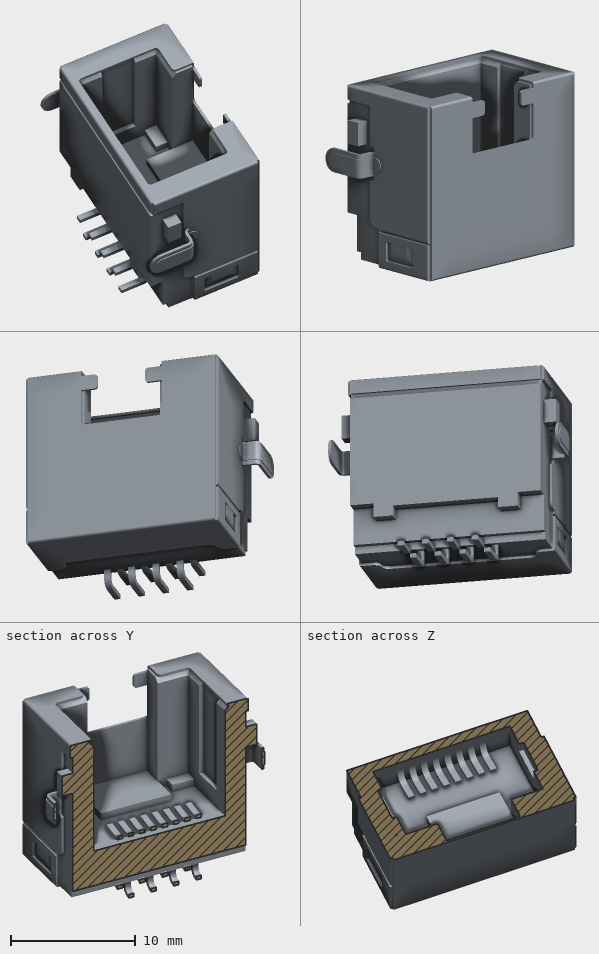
import cadquery as cq


SHELL_HALF_WIDTH = 8.1
DEPTH = 9.85
HEIGHT = 14.5
SHEET = 0.23
BEND_RADIUS = 0.21
BODY_HALF_WIDTH = SHELL_HALF_WIDTH - SHEET
TOP_SHEET_Z = HEIGHT - SHEET
SIDES = (-1, 1)
EMBED = 0.2
REACH = 38.26

SIDE_EDGE_Y = 2.9
FLAP_BOTTOM_Z = 13.3
FLAP_GAP = 0.4
FLAP_CORNER = 0.2
LEG_Z = 8.5
LEG_RELIEF_Y = 3.39
LEG_RELIEF_HEIGHT = 2.93
RELIEF_CORNER = 0.44
UPPER_SHELL_Z = 3.1
SEAM_GAP = 0.13
SIDE_CORNER = 0.54
LOWER_EDGE_Y = 3.9
RAMP_START_Y = 3.54
RAMP_RISE = 0.08

BOTTOM_EDGE_CURVE = 0.61
BOTTOM_EDGE_OUTER_X = 6.98

WINDOW_Y = (4.75, 7.9)
WINDOW_Z = (0.77, 2.37)
WINDOW_CORNER = 0.15
CATCH_CLEARANCE = 0.11
CATCH_SLOPE_Y = 0.65
CATCH_SLOPE_Z = 0.65
CATCH_RISE = 0.2

STEP_DEPTH = 1.1
STEP_CENTRE_Z = 3.54
STEP_TAB_Z = 2.7
STEP_OUTER_Z = 3.85
TAB_INNER_X = 4.35
TAB_OUTER_X = 5.95
FOOT_DEPTH = 1.6
FOOT_Z = 0.85

CAVITY_HALF_WIDTH = 5.93
CAVITY_Y = (0.95, 7.77)
CAVITY_FLOOR_Z = 4.11
RIM = 0.2
LEAD_IN = 0.38
RIM_CORNER = 0.29
LATCH_HALF_WIDTH = 3.18
LATCH_FRONT_Y = 5.43
LATCH_FLOOR_Z = 4.78
BACK_NOTCH_Z = 9.74
BACK_NOTCH_CORNER = 0.25
BACK_TAB_INNER_X = 2.0
BACK_TAB_Z = (12.76, 14.0)
BACK_TAB_CORNER = 0.25
STOP_INNER_X = 3.96
STOP_FRONT_Y = 6.71
WALL_POCKET_Y = (2.89, 5.87)
WALL_POCKET_DEPTH = 0.38
WALL_POCKET_FLOOR_Z = 5.74
WALL_POCKET_LEAD_IN = 0.25

PEG_HALF_SPAN = 8.84
PEG_Y = (1.09, 2.28)
PEG_Z = (9.95, 11.88)
OVERALL_HALF_SPAN = 9.56
RIB_RISE = 0.08
LEG_HALF_SPAN = OVERALL_HALF_SPAN - RIB_RISE
LEG_BACK_Y = 3.14
LEG_TIP_Y = -0.85
LEG_WIDTH = 1.99
LEG_INNER_BEND = 0.25
RIB_WIDTH = 1.25
RIB_Y = (-0.4, 4.15)

PIN_COUNT = 8
PIN_ROW_SPAN = 7.14
PIN_PITCH = PIN_ROW_SPAN / (PIN_COUNT - 1)
PIN_WIDTH = 0.52
PIN_THICKNESS = 0.36
PIN_TIP_Y = -0.52
PIN_BACK_Y = 2.33
PIN_INNER_BEND = 0.55
UPPER_PIN_Z = -0.08
LOWER_PIN_Z = -1.19
PIN_TOP_Z = 1.91
SPRING_ROOT_Z = 5.74
SPRING_DIP_Y = 1.97
SPRING_DIP_Z = 4.78
SPRING_TIP_Y = 3.27
SPRING_TIP_Z = 5.01


def block(x, y, z):
    """Box spanning the given (low, high) ranges."""
    size = [high - low for low, high in (x, y, z)]
    return cq.Workplane().box(*size, centered=False).translate((x[0], y[0], z[0]))


def centred_block(half_width, y, z):
    return block((-half_width, half_width), y, z)


def side_block(side, x, y, z):
    """Box on the +X or -X side, x given as distances from the centre plane."""
    return block(sorted((side * x[0], side * x[1])), y, z)


def mirrored(solid):
    """The solid together with its mirror image across the centre plane."""
    return solid.union(solid.mirror("YZ"))


def make_envelope():
    wide = centred_block(SHELL_HALF_WIDTH, (SHEET, DEPTH - SHEET), (0, HEIGHT))
    wide = wide.edges("|Y").fillet(BEND_RADIUS)
    deep = centred_block(BODY_HALF_WIDTH, (0, DEPTH), (0, HEIGHT))
    deep = deep.edges("|X").edges(">Z or >Y").fillet(BEND_RADIUS)
    return wide.union(deep)


def make_side_openings():
    """Solids that clear the +X side where the housing shows past the shell."""
    lip_top = UPPER_SHELL_Z + SHEET
    opening = block((BODY_HALF_WIDTH, REACH), (-REACH, SIDE_EDGE_Y), (-REACH, FLAP_BOTTOM_Z))
    opening = opening.edges(">Y and >Z").fillet(FLAP_CORNER)
    relief = block(
        (BODY_HALF_WIDTH, REACH),
        (0, LEG_RELIEF_Y),
        (LEG_Z - LEG_RELIEF_HEIGHT / 2, LEG_Z + LEG_RELIEF_HEIGHT / 2),
    )
    relief = relief.edges("|X and >Y").fillet(RELIEF_CORNER)
    below = (
        cq.Workplane("YZ", origin=(BODY_HALF_WIDTH, 0, 0))
        .moveTo(0, lip_top + SIDE_CORNER)
        .lineTo(SIDE_EDGE_Y, lip_top + SIDE_CORNER)
        .radiusArc((SIDE_EDGE_Y + SIDE_CORNER, lip_top), -SIDE_CORNER)
        .lineTo(LOWER_EDGE_Y, lip_top)
        .lineTo(LOWER_EDGE_Y, -REACH)
        .lineTo(0, -REACH)
        .close()
        .extrude(REACH)
    )
    seam_bottom = UPPER_SHELL_Z - SEAM_GAP
    seam = (
        cq.Workplane("XZ", origin=(0, DEPTH - SHEET, 0))
        .moveTo(BODY_HALF_WIDTH, seam_bottom)
        .lineTo(SHELL_HALF_WIDTH, seam_bottom)
        .lineTo(SHELL_HALF_WIDTH, lip_top)
        .radiusArc((BODY_HALF_WIDTH, UPPER_SHELL_Z), SHEET)
        .close()
        .extrude(DEPTH)
    )
    return opening, relief, below, seam


def make_side_ramp():
    """Low ramp on the housing leading up to the lower shell."""
    return (
        cq.Workplane("XY", origin=(0, 0, SHEET))
        .moveTo(BODY_HALF_WIDTH - EMBED, RAMP_START_Y)
        .lineTo(BODY_HALF_WIDTH, RAMP_START_Y)
        .lineTo(BODY_HALF_WIDTH + RAMP_RISE, LOWER_EDGE_Y)
        .lineTo(BODY_HALF_WIDTH - EMBED, LOWER_EDGE_Y)
        .close()
        .extrude(UPPER_SHELL_Z)
    )


def make_window():
    window = block((BODY_HALF_WIDTH, REACH), WINDOW_Y, WINDOW_Z)
    return window.edges("|X").fillet(WINDOW_CORNER)


def make_catch():
    """Wedge with a flat top, sloping down on three sides."""
    base = BODY_HALF_WIDTH - EMBED
    foot = BODY_HALF_WIDTH
    peak = foot + CATCH_RISE
    front, back = WINDOW_Y[0] + CATCH_CLEARANCE, WINDOW_Y[1] - CATCH_CLEARANCE
    low, high = WINDOW_Z[0] + CATCH_CLEARANCE, WINDOW_Z[1]
    plan = [
        (base, front),
        (foot, front),
        (peak, front + CATCH_SLOPE_Y),
        (peak, back - CATCH_SLOPE_Y),
        (foot, back),
        (base, back),
    ]
    profile = [(base, low), (foot, low), (peak, low + CATCH_SLOPE_Z), (peak, high), (base, high)]
    across = cq.Workplane("XY").polyline(plan).close().extrude(HEIGHT)
    upright = cq.Workplane("XZ").polyline(profile).close().extrude(-DEPTH)
    return across.intersect(upright)


def make_underside_cut():
    """Space below the housing, in front of the bottom plate's stepped edge."""
    inner_x = BOTTOM_EDGE_OUTER_X - 2 * BOTTOM_EDGE_CURVE
    middle_x = BOTTOM_EDGE_OUTER_X - BOTTOM_EDGE_CURVE
    middle_y = LOWER_EDGE_Y + BOTTOM_EDGE_CURVE
    inner_y = LOWER_EDGE_Y + 2 * BOTTOM_EDGE_CURVE
    half = (
        cq.Workplane("XY")
        .moveTo(0, -REACH)
        .lineTo(REACH, -REACH)
        .lineTo(REACH, LOWER_EDGE_Y)
        .lineTo(BOTTOM_EDGE_OUTER_X, LOWER_EDGE_Y)
        .radiusArc((middle_x, middle_y), BOTTOM_EDGE_CURVE)
        .radiusArc((inner_x, inner_y), -BOTTOM_EDGE_CURVE)
        .lineTo(0, inner_y)
        .close()
        .extrude(SHEET)
    )
    return mirrored(half)


def make_front_cuts():
    flap_gap = centred_block(REACH, (-REACH, SHEET), (FLAP_BOTTOM_Z - FLAP_GAP, FLAP_BOTTOM_Z))
    foot = centred_block(REACH, (-REACH, FOOT_DEPTH), (-REACH, FOOT_Z))
    centre = centred_block(TAB_INNER_X, (-REACH, STEP_DEPTH), (-REACH, STEP_CENTRE_Z))
    tabs = centred_block(TAB_OUTER_X, (-REACH, STEP_DEPTH), (-REACH, STEP_TAB_Z))
    cuts = flap_gap.union(foot).union(centre).union(tabs)
    for side in SIDES:
        cuts = cuts.union(
            side_block(side, (TAB_OUTER_X, REACH), (-REACH, STEP_DEPTH), (-REACH, STEP_OUTER_Z))
        )
    return cuts


def make_wall_pocket():
    """Recess in the +X cavity wall, flared where it meets the top sheet."""
    front, back = WALL_POCKET_Y
    wall_x = CAVITY_HALF_WIDTH + WALL_POCKET_DEPTH
    profile = [
        (CAVITY_HALF_WIDTH - EMBED, WALL_POCKET_FLOOR_Z),
        (wall_x, WALL_POCKET_FLOOR_Z),
        (wall_x, TOP_SHEET_Z - WALL_POCKET_LEAD_IN),
        (wall_x + WALL_POCKET_LEAD_IN, TOP_SHEET_Z),
        (CAVITY_HALF_WIDTH - EMBED, TOP_SHEET_Z),
    ]
    return cq.Workplane("XZ", origin=(0, back, 0)).polyline(profile).close().extrude(back - front)


def make_cavity():
    front, back = CAVITY_Y
    rim_half_width = CAVITY_HALF_WIDTH + RIM
    cavity = centred_block(CAVITY_HALF_WIDTH, CAVITY_Y, (CAVITY_FLOOR_Z, HEIGHT))

    top_opening = centred_block(rim_half_width, (front - RIM, back + RIM), (TOP_SHEET_Z, HEIGHT))
    top_notch = centred_block(LATCH_HALF_WIDTH + RIM, (back, REACH), (TOP_SHEET_Z, HEIGHT))
    top_opening = top_opening.union(top_notch).edges("|Z").fillet(RIM_CORNER)

    centre_y = (front + back) / 2
    lead_in = (
        cq.Workplane("XY", origin=(0, centre_y, TOP_SHEET_Z - LEAD_IN))
        .rect(2 * CAVITY_HALF_WIDTH, back - front)
        .workplane(offset=LEAD_IN)
        .rect(2 * (CAVITY_HALF_WIDTH + LEAD_IN), back - front + 2 * LEAD_IN)
        .loft()
    )

    channel = centred_block(LATCH_HALF_WIDTH, (LATCH_FRONT_Y, DEPTH - SHEET), (LATCH_FLOOR_Z, HEIGHT))
    back_notch = centred_block(LATCH_HALF_WIDTH, (LATCH_FRONT_Y, REACH), (BACK_NOTCH_Z, HEIGHT))
    shell_notch = centred_block(LATCH_HALF_WIDTH + RIM, (DEPTH - SHEET, REACH), (BACK_NOTCH_Z, HEIGHT))
    shell_notch = shell_notch.edges("|Y and <Z").fillet(BACK_NOTCH_CORNER)

    latch_ledge = centred_block(LATCH_HALF_WIDTH, (LATCH_FRONT_Y, back), (0, LATCH_FLOOR_Z))
    cavity = cavity.cut(latch_ledge)
    for side in SIDES:
        stop = side_block(side, (STOP_INNER_X, REACH), (STOP_FRONT_Y, back), (0, LATCH_FLOOR_Z))
        cavity = cavity.cut(stop)
    pockets = mirrored(make_wall_pocket())
    for piece in (top_opening, lead_in, channel, back_notch, shell_notch, pockets):
        cavity = cavity.union(piece)
    return cavity


def make_back_tab():
    """Finger of the shell's back sheet reaching into the notch."""
    tab = block((BACK_TAB_INNER_X, LATCH_HALF_WIDTH + RIM + EMBED), (DEPTH - SHEET, DEPTH), BACK_TAB_Z)
    return tab.edges("|Y and <X").fillet(BACK_TAB_CORNER)


def make_bent_strip(inner, outer, tip_y, root_y, width):
    """Strip along the +X leg path between two offsets from its outer face.

    The path runs down the shell side, bends outwards and then bends again
    towards the front, so the two bends curve in opposite directions.
    """
    outer_bend = LEG_INNER_BEND + SHEET
    shell_bend_x = SHELL_HALF_WIDTH + LEG_INNER_BEND
    shell_bend_y = LEG_BACK_Y + LEG_INNER_BEND
    tip_bend_x = LEG_HALF_SPAN - outer_bend
    tip_bend_y = LEG_BACK_Y - outer_bend
    strip = (
        cq.Workplane("XY", origin=(0, 0, LEG_Z - width / 2))
        .moveTo(SHELL_HALF_WIDTH + outer, root_y)
        .lineTo(SHELL_HALF_WIDTH + outer, shell_bend_y)
        .radiusArc((shell_bend_x, LEG_BACK_Y + outer), -(LEG_INNER_BEND - outer))
        .lineTo(tip_bend_x, LEG_BACK_Y + outer)
        .radiusArc((LEG_HALF_SPAN + outer, tip_bend_y), outer_bend + outer)
        .lineTo(LEG_HALF_SPAN + outer, tip_y)
        .lineTo(LEG_HALF_SPAN + inner, tip_y)
        .lineTo(LEG_HALF_SPAN + inner, tip_bend_y)
        .radiusArc((tip_bend_x, LEG_BACK_Y + inner), -(outer_bend + inner))
        .lineTo(shell_bend_x, LEG_BACK_Y + inner)
        .radiusArc((SHELL_HALF_WIDTH + inner, shell_bend_y), LEG_INNER_BEND - inner)
        .lineTo(SHELL_HALF_WIDTH + inner, root_y)
        .close()
        .extrude(width)
    )
    rounded_side = (
        cq.Workplane("YZ")
        .center((tip_y + root_y) / 2, LEG_Z)
        .slot2D(root_y - tip_y, width)
        .extrude(REACH)
    )
    return strip.intersect(rounded_side)


def make_leg():
    leg = make_bent_strip(-SHEET, 0, LEG_TIP_Y, LEG_RELIEF_Y + LEG_WIDTH, LEG_WIDTH)
    rib = make_bent_strip(-SHEET / 2, RIB_RISE, RIB_Y[0], RIB_Y[1], RIB_WIDTH)
    return leg.union(rib)


def make_peg():
    return block((BODY_HALF_WIDTH - EMBED, PEG_HALF_SPAN), PEG_Y, PEG_Z)


def make_pin(x, bottom_z):
    """Lead that drops out of the housing and bends towards the front."""
    outer_bend = PIN_INNER_BEND + PIN_THICKNESS
    bend_y = PIN_BACK_Y - outer_bend
    bend_z = bottom_z + outer_bend
    top_z = bottom_z + PIN_THICKNESS
    return (
        cq.Workplane("YZ", origin=(x - PIN_WIDTH / 2, 0, 0))
        .moveTo(PIN_TIP_Y, bottom_z)
        .lineTo(bend_y, bottom_z)
        .radiusArc((PIN_BACK_Y, bend_z), -outer_bend)
        .lineTo(PIN_BACK_Y, PIN_TOP_Z)
        .lineTo(PIN_BACK_Y - PIN_THICKNESS, PIN_TOP_Z)
        .lineTo(PIN_BACK_Y - PIN_THICKNESS, bend_z)
        .radiusArc((bend_y, top_z), PIN_INNER_BEND)
        .lineTo(PIN_TIP_Y, top_z)
        .close()
        .extrude(PIN_WIDTH)
    )


def make_spring(x):
    """Contact spring that curves down from the front wall and rises again."""
    wall_y = CAVITY_Y[0]
    bend = SPRING_ROOT_Z - SPRING_DIP_Z
    return (
        cq.Workplane("YZ", origin=(x - PIN_WIDTH / 2, 0, 0))
        .moveTo(wall_y - EMBED, SPRING_ROOT_Z)
        .lineTo(wall_y, SPRING_ROOT_Z)
        .radiusArc((SPRING_DIP_Y, SPRING_DIP_Z), -bend)
        .lineTo(SPRING_TIP_Y, SPRING_TIP_Z)
        .lineTo(SPRING_TIP_Y, SPRING_TIP_Z - PIN_THICKNESS)
        .lineTo(SPRING_DIP_Y, SPRING_DIP_Z - PIN_THICKNESS)
        .radiusArc((wall_y, SPRING_ROOT_Z - PIN_THICKNESS), bend)
        .lineTo(wall_y - EMBED, SPRING_ROOT_Z - PIN_THICKNESS)
        .close()
        .extrude(PIN_WIDTH)
    )


part = make_envelope()
for opening in make_side_openings():
    part = part.cut(mirrored(opening))
part = part.union(mirrored(make_side_ramp()))
part = part.cut(mirrored(make_window()))
part = part.union(mirrored(make_catch()))
part = part.cut(make_underside_cut())
part = part.cut(make_front_cuts())
part = part.cut(make_cavity())
part = part.union(mirrored(make_back_tab()))
part = part.union(mirrored(make_peg()))
part = part.union(mirrored(make_leg()))

for index in range(PIN_COUNT):
    pin_x = (index - (PIN_COUNT - 1) / 2) * PIN_PITCH
    pin_z = UPPER_PIN_Z if index % 2 == 0 else LOWER_PIN_Z
    part = part.union(make_pin(pin_x, pin_z)).union(make_spring(pin_x))

result = part